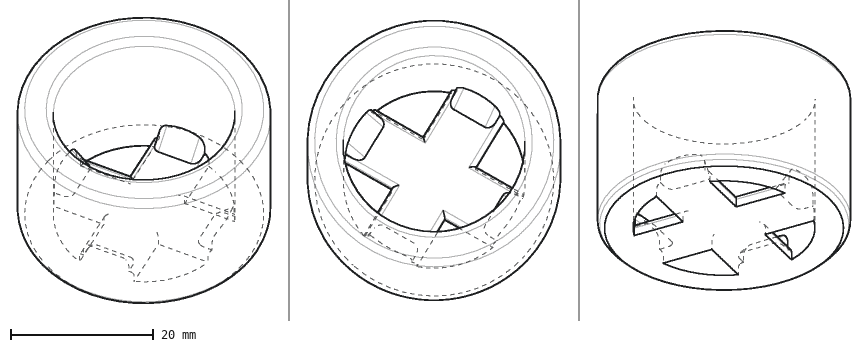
import cadquery as cq

outer_diameter = 35.5
bore_diameter = 25.5
height = 22.0
edge_size = 1.0

bar_width = 8.5
bar_thickness = 2.0
bar_edge_radius = 0.7

gusset_width = bar_width - 2 * bar_edge_radius
gusset_inner_radius = 9.73

outer_radius = outer_diameter / 2
bore_radius = bore_diameter / 2
wall_middle_radius = (outer_radius + bore_radius) / 2


def make_ring():
    """Tube with rounded top rims and a softened chamfer around the base."""
    body = cq.Workplane("XY").circle(outer_radius).extrude(height)
    body = body.faces("<Z").edges().chamfer(edge_size)
    corner = cq.selectors.BoxSelector(
        (-outer_diameter, -outer_diameter, edge_size / 2),
        (outer_diameter, outer_diameter, height / 2),
    )
    corner_edges = body.edges("%CIRCLE").edges(corner)
    body = corner_edges.fillet(edge_size)
    bore = cq.Workplane("XY").circle(bore_radius).extrude(height)
    return body.cut(bore).faces(">Z").edges().fillet(edge_size)


def make_cross():
    """Two crossing bars with rounded upper edges."""
    length = 2 * wall_middle_radius
    centered = (True, True, False)
    bar_x = cq.Workplane("XY").box(length, bar_width, bar_thickness, centered=centered)
    bar_y = cq.Workplane("XY").box(bar_width, length, bar_thickness, centered=centered)
    return bar_x.union(bar_y).faces(">Z").edges().fillet(bar_edge_radius)


def make_gusset():
    """45 degree wedge rising outward along +X, with rounded slope sides."""
    run = wall_middle_radius - gusset_inner_radius
    wedge = (
        cq.Workplane("XZ")
        .moveTo(gusset_inner_radius - bar_thickness, 0)
        .lineTo(wall_middle_radius, 0)
        .lineTo(wall_middle_radius, bar_thickness + run)
        .close()
        .extrude(gusset_width / 2, both=True)
    )
    slope_sides = wedge.edges("not(|X or |Y or |Z)")
    rounded = slope_sides.fillet(edge_size)
    reach = cq.Workplane("XY").circle((bore_radius + wall_middle_radius) / 2).extrude(height)
    return rounded.intersect(reach)


result = make_ring().union(make_cross())
for quarter in range(4):
    gusset = make_gusset().rotate((0, 0, 0), (0, 0, 1), 90 * quarter)
    result = result.union(gusset)